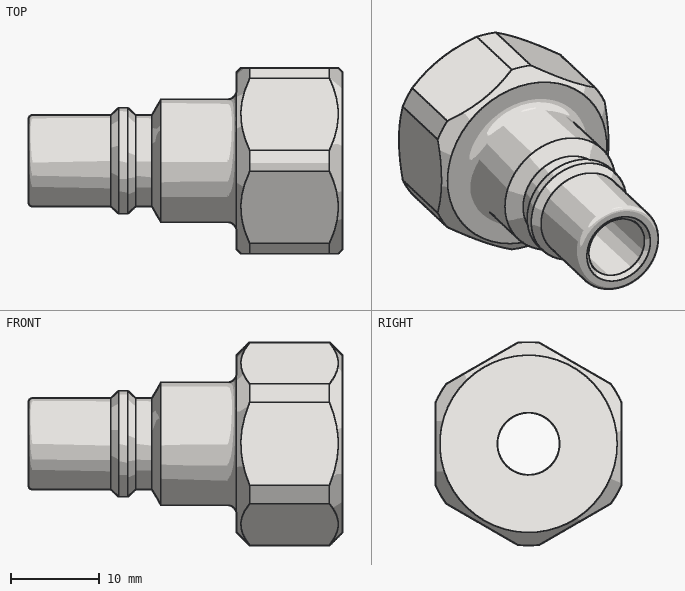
import cadquery as cq

collar_start = 9.35
collar_crest_start = 10.2
collar_crest_end = 11.25
collar_end = 12.1
shoulder_start = 13.95
shoulder_end = 14.98
nut_start = 23.5
total_length = 35.5

plug_diameter = 10.35
collar_diameter = 12.0
body_diameter = 13.9
bore_diameter = 7.0
tip_round = 0.5
bore_chamfer = 0.5
root_fillet = 1.0

across_flats = 21.0
corner_diameter = 23.0
nut_face_diameter = 20.02
nut_chamfer_length = 1.5

nut_length = total_length - nut_start


def revolve_about_x(profile):
    """Turn a closed XY profile, lying on the X axis, through a full circle."""
    return profile.close().revolve(360, (0, 0, 0), (1, 0, 0))


def make_plug():
    """Turned plug with rounded tip, collar, conical shoulder and concave root fillet."""
    plug_radius = plug_diameter / 2
    collar_radius = collar_diameter / 2
    body_radius = body_diameter / 2
    diagonal = 0.5 ** 0.5
    tip_middle = (
        tip_round * (1 - diagonal),
        plug_radius - tip_round * (1 - diagonal),
    )
    root_start = (nut_start - root_fillet, body_radius)
    root_end = (nut_start, body_radius + root_fillet)
    root_middle = (
        root_start[0] + root_fillet * diagonal,
        root_end[1] - root_fillet * diagonal,
    )
    profile = (
        cq.Workplane("XY")
        .moveTo(0, 0)
        .lineTo(0, plug_radius - tip_round)
        .threePointArc(tip_middle, (tip_round, plug_radius))
        .lineTo(collar_start, plug_radius)
        .lineTo(collar_crest_start, collar_radius)
        .lineTo(collar_crest_end, collar_radius)
        .lineTo(collar_end, plug_radius)
        .lineTo(shoulder_start, plug_radius)
        .lineTo(shoulder_end, body_radius)
        .lineTo(*root_start)
        .threePointArc(root_middle, root_end)
        .lineTo(total_length, root_end[1])
        .lineTo(total_length, 0)
    )
    return revolve_about_x(profile)


def make_nut():
    """Hexagon with flats on +Y and -Y, trimmed by a cylinder coned at both ends."""
    hexagon = (
        cq.Workplane("YZ", origin=(nut_start, 0, 0))
        .polygon(6, across_flats, circumscribed=True)
        .extrude(nut_length)
    )
    face_radius = nut_face_diameter / 2
    corner_radius = corner_diameter / 2
    envelope = (
        cq.Workplane("XY")
        .moveTo(nut_start, 0)
        .lineTo(nut_start, face_radius)
        .lineTo(nut_start + nut_chamfer_length, corner_radius)
        .lineTo(total_length - nut_chamfer_length, corner_radius)
        .lineTo(total_length, face_radius)
        .lineTo(total_length, 0)
    )
    return hexagon.intersect(revolve_about_x(envelope))


def make_bore():
    """Through bore with a chamfered mouth at the plug tip."""
    bore_radius = bore_diameter / 2
    profile = (
        cq.Workplane("XY")
        .moveTo(0, 0)
        .lineTo(0, bore_radius + bore_chamfer)
        .lineTo(bore_chamfer, bore_radius)
        .lineTo(total_length, bore_radius)
        .lineTo(total_length, 0)
    )
    return revolve_about_x(profile)


result = make_plug().union(make_nut()).cut(make_bore())